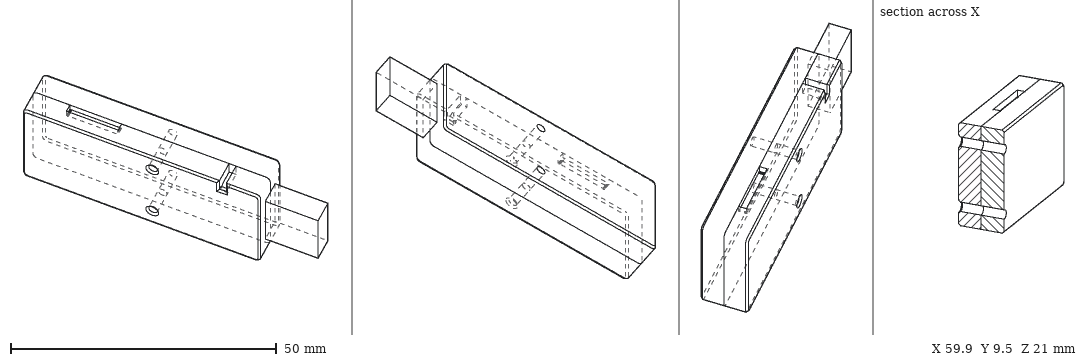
import cadquery as cq
import math

housing_length = 49.0
housing_depth = 9.5
housing_height = 21.0
cover_depth = housing_depth / 2
corner_radius = 1.0
edge_chamfer = 0.4

overall_length = 59.9
plug_length = overall_length - housing_length
plug_depth = 4.5
plug_height = 12.1

hole_x = 26.8
hole_spacing = 13.25
hole_diameter = 1.8
hole_chamfer = edge_chamfer

slot_start_x = 7.6
slot_length = 10.65
slot_width = 1.55
slot_depth = 1.4
groove_width = 0.2
groove_depth = 0.2
groove_end_gap = 0.2

notch_x = 41.2
notch_width = 1.45
notch_depth = 2.7
notch_floor_tilt = 4.0
notch_chamfer = edge_chamfer

recess_back_y = -2.4
recess_radius = 1.25

top_z = housing_height / 2
front_y = -cover_depth


def make_cover(side):
    """Plain cover block reaching from the parting plane to Y = side * cover_depth."""
    return (
        cq.Workplane("XY")
        .box(housing_length, cover_depth, housing_height, centered=(False, True, True))
        .translate((0, side * cover_depth / 2, 0))
        .edges("|Y")
        .fillet(corner_radius)
        .faces(">Y" if side > 0 else "<Y")
        .chamfer(edge_chamfer)
    )


def make_holes():
    """Cylinders that clear both covers, one above and one below the mid height."""
    return (
        cq.Workplane("XZ", origin=(hole_x, cover_depth, 0))
        .pushPoints([(0, -hole_spacing / 2), (0, hole_spacing / 2)])
        .circle(hole_diameter / 2)
        .extrude(housing_depth)
    )


def make_hole_chamfers():
    """Cones that widen the holes at the front face."""
    mouth_radius = hole_diameter / 2 + hole_chamfer
    cones = cq.Workplane("XY")
    for z in (-hole_spacing / 2, hole_spacing / 2):
        cone = cq.Solid.makeCone(
            mouth_radius,
            hole_diameter / 2,
            hole_chamfer,
            cq.Vector(hole_x, front_y, z),
            cq.Vector(0, 1, 0),
        )
        cones = cones.add(cone)
    return cones.combine()


def make_slot():
    """Card slot together with the groove near each of its ends."""
    floor_z = top_z - slot_depth
    slot = (
        cq.Workplane("XY", origin=(slot_start_x, -slot_width, floor_z))
        .box(slot_length, slot_width, slot_depth, centered=False)
    )
    first_groove_x = slot_start_x + groove_end_gap
    last_groove_x = slot_start_x + slot_length - groove_end_gap - groove_width
    for x in (first_groove_x, last_groove_x):
        groove = (
            cq.Workplane("XY", origin=(x, -slot_width, floor_z - groove_depth))
            .box(groove_width, slot_width, groove_depth, centered=False)
        )
        slot = slot.union(groove)
    return slot


def notch_profile(y, growth):
    """Closed notch outline on the plane at this Y, widened by growth on the sides and floor."""
    half_width = notch_width / 2 + growth
    floor_z = top_z - notch_depth - growth
    floor_rise = half_width * math.tan(math.radians(notch_floor_tilt))
    open_z = top_z + edge_chamfer
    return cq.Wire.makePolygon(
        [
            cq.Vector(notch_x - half_width, y, open_z),
            cq.Vector(notch_x - half_width, y, floor_z - floor_rise),
            cq.Vector(notch_x + half_width, y, floor_z + floor_rise),
            cq.Vector(notch_x + half_width, y, open_z),
        ],
        close=True,
    )


def make_notch():
    """Channel from the front face to the parting plane, flared at the front face."""
    channel = cq.Solid.extrudeLinear(notch_profile(front_y, 0), [], cq.Vector(0, cover_depth, 0))
    mouth_outline = notch_profile(front_y, notch_chamfer)
    throat_outline = notch_profile(front_y + notch_chamfer, 0)
    mouth = cq.Solid.makeLoft([mouth_outline, throat_outline], True)
    return cq.Workplane(channel).union(cq.Workplane(mouth))


def make_notch_recess():
    """Recess swept across the tilted notch floor; its bottom is a convex quarter circle."""
    left_x = notch_x - notch_width / 2
    floor_slope = math.tan(math.radians(notch_floor_tilt))
    left_floor_z = top_z - notch_depth - floor_slope * notch_width / 2
    arc_centre_z = left_floor_z - recess_radius
    arc_offset = recess_radius * math.sqrt(0.5)
    recess_front_y = recess_back_y - recess_radius
    profile = (
        cq.Workplane("YZ", origin=(left_x, 0, 0))
        .moveTo(recess_back_y, left_floor_z)
        .threePointArc(
            (recess_back_y - arc_offset, arc_centre_z + arc_offset),
            (recess_front_y, arc_centre_z),
        )
        .lineTo(recess_front_y, left_floor_z)
        .close()
    )
    sweep = cq.Vector(notch_width, 0, floor_slope * notch_width)
    return cq.Workplane(cq.Solid.extrudeLinear(profile.val(), [], sweep))


def make_plug():
    """Rectangular plug whose inner end rests against both covers."""
    return (
        cq.Workplane("XY")
        .box(plug_length, plug_depth, plug_height, centered=(False, True, True))
        .translate((housing_length, 0, 0))
    )


holes = make_holes()
rear_cover = make_cover(1).cut(holes)
front_cover = (
    make_cover(-1)
    .cut(holes)
    .cut(make_hole_chamfers())
    .cut(make_slot())
    .cut(make_notch())
    .cut(make_notch_recess())
)
plug = make_plug()

result = cq.Compound.makeCompound([front_cover.val(), rear_cover.val(), plug.val()])